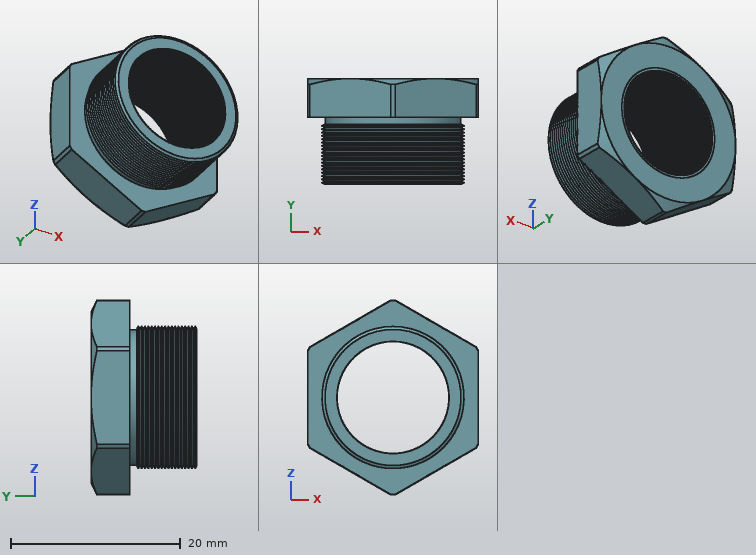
import cadquery as cq
import math

HEAD_SIDES = 6
ACROSS_FLATS = 20.07
ACROSS_CORNERS = 22.88
HEAD_THICKNESS = 4.57
CHAMFER_ANGLE = 26.0

OVERALL_LENGTH = 12.45
RELIEF_LENGTH = 0.79
SHANK_LENGTH = OVERALL_LENGTH - HEAD_THICKNESS

OUTSIDE_RIDGES = 18
OUTSIDE_CREST_RADIUS = 8.36
OUTSIDE_ROOT_RADIUS = 8.0
OUTSIDE_PITCH = (SHANK_LENGTH - RELIEF_LENGTH) / OUTSIDE_RIDGES

BORE_RADIUS = 6.58
INSIDE_GROOVES = 31
INSIDE_PITCH = 0.407
INSIDE_GROOVE_WIDTH = INSIDE_PITCH / 2
INSIDE_GROOVE_DEPTH = 0.35

HEAD_END = OVERALL_LENGTH / 2
HEAD_SEAT = HEAD_END - HEAD_THICKNESS
SHANK_END = -OVERALL_LENGTH / 2


def revolve_profile(points):
    """Turn a closed (radius, y) outline about the Y axis."""
    outline = cq.Workplane("YZ").polyline([(y, radius) for radius, y in points]).close()
    return outline.revolve(360, (0, 0, 0), (1, 0, 0))


def make_head():
    """Hexagon with corners up and down, turned to a cylinder and a conical chamfer."""
    half_side_angle = 180 / HEAD_SIDES
    sharp_corners = ACROSS_FLATS / math.cos(math.radians(half_side_angle))
    hexagon = (
        cq.Workplane("XZ", origin=(0, HEAD_END, 0))
        .polygon(HEAD_SIDES, sharp_corners)
        .extrude(HEAD_THICKNESS)
        .rotate((0, 0, 0), (0, 1, 0), half_side_angle)
    )
    flat_radius = ACROSS_FLATS / 2
    corner_radius = ACROSS_CORNERS / 2
    chamfer_drop = (corner_radius - flat_radius) * math.tan(math.radians(CHAMFER_ANGLE))
    turned_blank = revolve_profile([
        (0, HEAD_SEAT),
        (corner_radius, HEAD_SEAT),
        (corner_radius, HEAD_END - chamfer_drop),
        (flat_radius, HEAD_END),
        (0, HEAD_END),
    ])
    return hexagon.intersect(turned_blank)


def make_shank():
    """Outside-threaded barrel with the plain neck, joined to the head seat."""
    profile = [(0, SHANK_END), (OUTSIDE_ROOT_RADIUS, SHANK_END)]
    for index in range(OUTSIDE_RIDGES):
        ridge_start = SHANK_END + index * OUTSIDE_PITCH
        profile.append((OUTSIDE_CREST_RADIUS, ridge_start + OUTSIDE_PITCH / 2))
        profile.append((OUTSIDE_ROOT_RADIUS, ridge_start + OUTSIDE_PITCH))
    profile.append((OUTSIDE_ROOT_RADIUS, HEAD_SEAT))
    profile.append((0, HEAD_SEAT))
    return revolve_profile(profile)


def make_bore():
    """Through bore; each groove slopes outward toward +Y and ends in a square wall."""
    groove_radius = BORE_RADIUS + INSIDE_GROOVE_DEPTH
    profile = [(0, SHANK_END)]
    for index in range(INSIDE_GROOVES):
        groove_start = SHANK_END + index * INSIDE_PITCH
        groove_end = groove_start + INSIDE_GROOVE_WIDTH
        profile.append((BORE_RADIUS, groove_start))
        profile.append((groove_radius, groove_end))
        profile.append((BORE_RADIUS, groove_end))
    profile.append((BORE_RADIUS, HEAD_END))
    profile.append((0, HEAD_END))
    return revolve_profile(profile)


result = make_head().union(make_shank()).cut(make_bore())